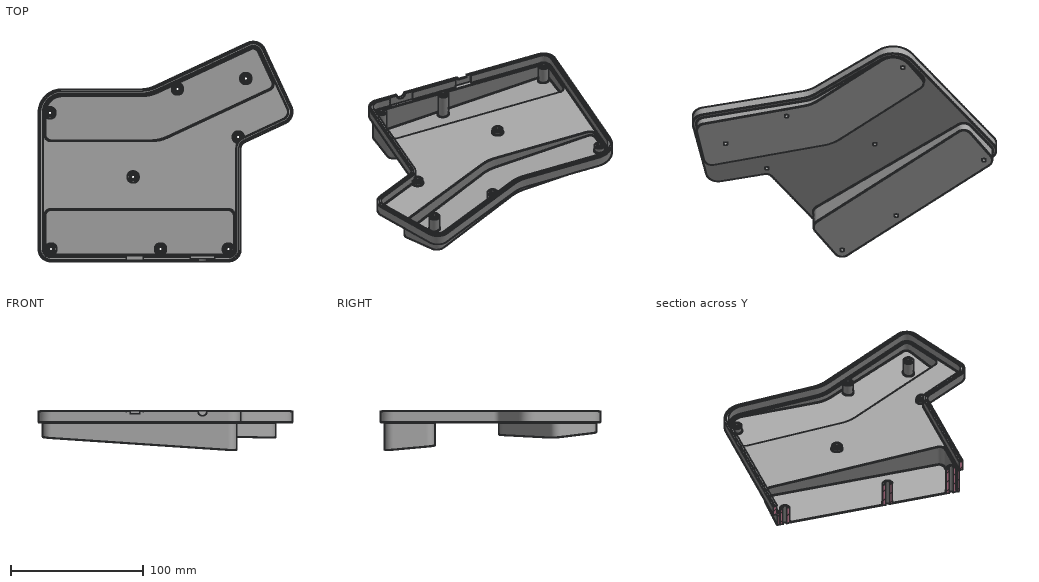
import cadquery as cq
import math


body_width = 153.0
body_depth = 130.3
arm_angle = 25.0
arm_bend_x = 83.0
arm_length = 92.55
arm_width = 67.15

corner_radius = 9.5
back_left_radius = 18.0
bend_radius = 24.0
inner_corner_radius = 5.0

rim_height = 9.0
wall = 3.2
floor = 1.5
edge = 0.5

lip_inset = 1.5
lip_height = 0.5

foot_inset = 3.0
foot_wall = 2.0
foot_depth_front = 38.4
foot_band_back = 41.0
foot_bend_radius = 30.0
total_height = 29.94
ground_slope_x = 3.82
ground_slope_y = 5.2

boss_radius = 4.0
boss_shoulder_z = -5.0
collar_radius = 2.7
collar_height = 1.5
screw_radius = 1.5

foot_bosses = [
    (corner_radius, corner_radius),
    (92.3, corner_radius),
    (body_width - corner_radius, corner_radius),
    (8.8, 112.4),
    (105.1, 130.4),
    (156.7, 138.3),
]
rim_bosses = [(71.6, 64.0), (151.0, 94.1)]

usb_slot = (69.3, 76.6)
usb_slot_depth = 2.4
usb_recess = (66.5, 79.3)
usb_thin_wall = 1.2
jack_recess = (114.8, 133.2)
jack_thin_wall = 2.3
jack_x = 124.0
jack_z = -0.4
jack_radius = 3.4

along = (math.cos(math.radians(arm_angle)), math.sin(math.radians(arm_angle)))
across = (along[1], -along[0])
slope_x = math.tan(math.radians(ground_slope_x))
slope_y = math.tan(math.radians(ground_slope_y))
foot_radius = corner_radius - foot_inset
rim_floor_z = floor - rim_height
deep = 60.0
huge = 600.0


def step(point, direction, distance):
    """The point reached from `point` along a unit direction."""
    return (point[0] + distance * direction[0], point[1] + distance * direction[1])


arm_bend = (arm_bend_x, body_depth)
arm_back = step(arm_bend, along, arm_length)
arm_front = step(arm_back, across, arm_width)
arm_root = (body_width, arm_front[1] - (arm_front[0] - body_width) * along[1] / along[0])


def rounded_outline(corners):
    """Closed outline through (point, radius) corners, each rounded by an arc."""
    arcs = []
    for i, (p, radius) in enumerate(corners):
        here = cq.Vector(*p)
        to_last = (cq.Vector(*corners[i - 1][0]) - here).normalized()
        to_next = (cq.Vector(*corners[(i + 1) % len(corners)][0]) - here).normalized()
        half = to_last.getAngle(to_next) / 2
        tangent = radius / math.tan(half)
        middle = (to_last + to_next).normalized() * (radius / math.sin(half) - radius)
        arcs.append((here + to_last * tangent, here + middle, here + to_next * tangent))
    edges = []
    for i, (start, middle, end) in enumerate(arcs):
        edges.append(cq.Edge.makeLine(arcs[i - 1][2], start))
        edges.append(cq.Edge.makeThreePointArc(start, middle, end))
    return cq.Wire.assembleEdges(edges)


rim_outline = rounded_outline([
    ((0, 0), corner_radius),
    ((body_width, 0), corner_radius),
    (arm_root, inner_corner_radius),
    (arm_front, corner_radius),
    (arm_back, corner_radius),
    (arm_bend, bend_radius),
    ((0, body_depth), back_left_radius),
])


def back_foot_outline():
    bend_shift = math.tan(math.radians(arm_angle / 2))

    def on_bend(inset):
        return (arm_bend_x + inset * bend_shift, body_depth - inset)

    end_back = step(step(arm_back, across, foot_inset), along, -foot_inset)
    end_front = step(end_back, across, foot_band_back - foot_inset)
    return rounded_outline([
        ((foot_inset, body_depth - foot_band_back), foot_radius),
        (on_bend(foot_band_back), foot_bend_radius),
        (end_front, foot_radius),
        (end_back, foot_radius),
        (on_bend(foot_inset), bend_radius + foot_inset),
        ((foot_inset, body_depth - foot_inset), back_left_radius - foot_inset),
    ])


def front_foot_outline():
    left, right = foot_inset, body_width - foot_inset
    front, back = foot_inset, foot_inset + foot_depth_front
    points = [(left, front), (right, front), (right, back), (left, back)]
    return rounded_outline([(p, foot_radius) for p in points])


foot_outlines = [front_foot_outline(), back_foot_outline()]


def prism(outline, inset, top, height, taper=0):
    """Solid hanging down from `top`; the outline is shrunk by `inset` first."""
    wire = outline.offset2D(-inset, "arc")[0] if inset else outline
    return (
        cq.Workplane("XY").add(wire).toPending().extrude(-height, taper=taper)
        .translate((0, 0, top))
    )


steepness = math.hypot(slope_x, slope_y)
ground_touch = (
    body_width - corner_radius + (foot_radius - edge) * slope_x / steepness,
    corner_radius - (foot_radius - edge) * slope_y / steepness,
)
ground_normal = cq.Vector(slope_x, -slope_y, 1).normalized()


def ground_z(x, y):
    """Height of the ground plane, which passes through the lowest point of the part."""
    return -total_height - slope_x * (x - ground_touch[0]) + slope_y * (y - ground_touch[1])


def above_ground(thickness):
    """Everything higher than `thickness` above the ground plane."""
    origin = cq.Vector(0, 0, ground_z(0, 0)) + ground_normal * thickness
    plane = cq.Plane(origin.toTuple(), (1, 0, -slope_x), ground_normal.toTuple())
    return cq.Workplane(plane).rect(huge, huge).extrude(huge / 2)


def chamfer_underside(solid):
    """Chamfers the edges of the tilted bottom face."""
    return solid.faces(cq.selectors.DirectionMinMaxSelector(ground_normal, False)).chamfer(edge)


def foot(outline):
    """Solid foot with a chamfered underside and a flared root under the rim."""
    block = chamfer_underside(prism(outline, 0, 0, deep).intersect(above_ground(0)))
    root = prism(outline, -edge, -rim_height, edge, 45)
    return block.union(root.intersect(above_ground(0)))


def foot_cavity(outline):
    """Hollow of a foot, with a chamfered floor and a chamfered mouth."""
    pocket = prism(outline, foot_wall, rim_floor_z + edge, deep).intersect(above_ground(floor))
    mouth = prism(outline, foot_wall - edge, rim_floor_z, edge, 45)
    return chamfer_underside(pocket).union(mouth.intersect(above_ground(floor)))


def rim():
    """Solid rim: an outer shelf and the lip standing on it."""
    shelf = prism(rim_outline, 0, -lip_height, rim_height - lip_height)
    shelf = shelf.faces("<Z").chamfer(edge)
    return shelf.union(prism(rim_outline, lip_inset, 0, rim_height / 2))


def rim_cavity():
    return prism(rim_outline, wall, 0, -rim_floor_z).faces("<Z").chamfer(edge)


def cylinder(x, y, radius, top, height):
    return cq.Workplane("XY", origin=(x, y, top)).circle(radius).extrude(-height)


def boss(x, y, floor_point, floor_normal):
    """Boss with a flared base on the floor that passes through `floor_point`."""
    shoulder = cylinder(x, y, boss_radius, boss_shoulder_z, deep)
    collar = cylinder(x, y, collar_radius, boss_shoulder_z + collar_height, deep)
    flare = cq.Solid.makeCone(boss_radius + edge, boss_radius, edge, floor_point, floor_normal)
    return shoulder.union(collar).union(cq.Workplane(flare))


def rim_boss(x, y):
    return boss(x, y, cq.Vector(x, y, rim_floor_z), cq.Vector(0, 0, 1))


def foot_boss(x, y):
    return boss(x, y, cq.Vector(x, y, ground_z(x, y) + floor / ground_normal.z), ground_normal)


def recess(left, right, thin_wall):
    """Thins the front wall from inside, down to the rim floor."""
    pocket = cq.Workplane("XY").box(right - left, wall, -rim_floor_z, (False, False, False))
    return pocket.translate((left, thin_wall, rim_floor_z))


def usb_opening():
    left, right = usb_slot
    slot = cq.Workplane("XY").box(right - left, 2 * wall, usb_slot_depth, (False, True, False))
    return recess(*usb_recess, usb_thin_wall).union(slot.translate((left, 0, -usb_slot_depth)))


def jack_opening():
    hole = cq.Workplane("XZ", origin=(jack_x, wall, jack_z)).circle(jack_radius).extrude(2 * wall)
    return recess(*jack_recess, jack_thin_wall).union(hole)


envelope = rim()
cavity = rim_cavity()
for outline in foot_outlines:
    envelope = envelope.union(foot(outline))
    cavity = cavity.union(foot_cavity(outline))

body = envelope.cut(cavity)
for x, y in rim_bosses:
    body = body.union(rim_boss(x, y).intersect(envelope))
for x, y in foot_bosses:
    body = body.union(foot_boss(x, y).intersect(envelope))
for x, y in rim_bosses + foot_bosses:
    body = body.cut(cylinder(x, y, screw_radius, 0, deep))

result = body.cut(usb_opening()).cut(jack_opening())